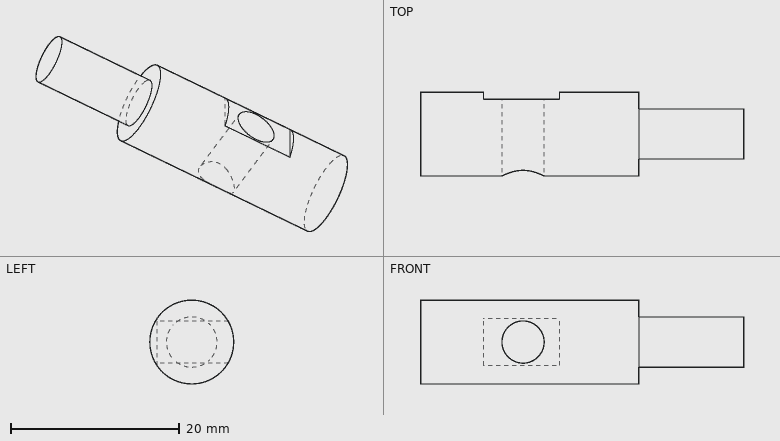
import cadquery as cq

total_length = 38.5
body_length = 26.0
body_diameter = 10.0
shank_diameter = 6.0

hole_diameter = 5.0
hole_x = 12.2

flat_start_x = 7.5
flat_length = 9.0
flat_depth = 0.85

body_radius = body_diameter / 2

body = cq.Workplane("YZ").circle(body_radius).extrude(body_length)
shank = (
    cq.Workplane("YZ", origin=(body_length, 0, 0))
    .circle(shank_diameter / 2)
    .extrude(total_length - body_length)
)

cross_hole = (
    cq.Workplane("XZ", origin=(hole_x, 0, 0))
    .circle(hole_diameter / 2)
    .extrude(body_radius, both=True)
)

flat_cut = cq.Workplane("XY").box(
    flat_length, flat_depth, body_diameter, centered=(False, False, True)
).translate((flat_start_x, body_radius - flat_depth, 0))

result = body.union(shank).cut(cross_hole).cut(flat_cut)